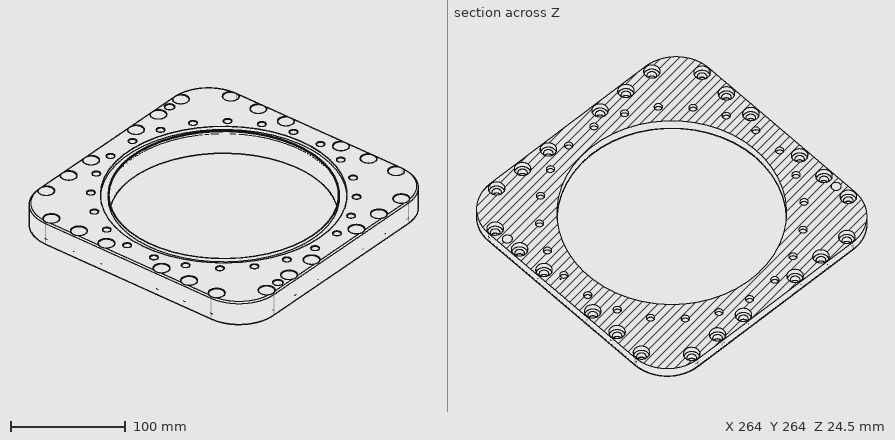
import cadquery as cq
import math

side = 264.0
thickness = 24.5
corner_radius = 39.0
edge_chamfer = 1.5

bore_diameter = 200.0
bore_top_chamfer = 0.6
bore_bottom_chamfer = 1.5

groove_inner_diameter = 202.0
groove_outer_diameter = 215.0
groove_depth = 3.3
groove_rim_chamfer = 0.2

bolt_diameter = 8.4
bolt_head_diameter = 14.0
bolt_floor_thickness = 6.5
bolt_edge_distance = 8.0
bolt_pitch = 31.0
bolts_per_half_side = 3

dowel_diameter = 8.4

ring_hole_diameter = 6.8
ring_hole_depth = 16.0
ring_hole_count = 24
ring_radius = 116.0

rim_chamfer = 0.49

bolt_line = side / 2 - bolt_edge_distance
dowel_offset = (bolts_per_half_side - 0.5) * bolt_pitch


def make_plate():
    """Rounded square plate resting on Z = 0, chamfered along its top and bottom outline."""
    plate = cq.Workplane("XY").rect(side, side).extrude(thickness)
    plate = plate.edges("|Z").fillet(corner_radius)
    return plate.faces("<Z or >Z").edges().chamfer(edge_chamfer)


def cut_bore(body):
    """Revolve the bore section, bevelled at both rims, around the Z axis."""
    radius = bore_diameter / 2
    section = (
        cq.Workplane("XZ")
        .lineTo(radius + bore_bottom_chamfer, 0)
        .lineTo(radius, bore_bottom_chamfer)
        .lineTo(radius, thickness - bore_top_chamfer)
        .lineTo(radius + bore_top_chamfer, thickness)
        .lineTo(0, thickness)
        .close()
    )
    return body.cut(section.revolve(360, (0, 0, 0), (0, 1, 0)))


def cut_groove(body):
    """Revolve the groove section, with its bevelled outer rim, around the Z axis."""
    inner = groove_inner_diameter / 2
    outer = groove_outer_diameter / 2
    section = (
        cq.Workplane("XZ")
        .moveTo(inner, thickness)
        .lineTo(inner, thickness - groove_depth)
        .lineTo(outer, thickness - groove_depth)
        .lineTo(outer, thickness - groove_rim_chamfer)
        .lineTo(outer + groove_rim_chamfer, thickness)
        .close()
    )
    return body.cut(section.revolve(360, (0, 0, 0), (0, 1, 0)))


def bolt_points():
    """Centres of the bolt holes, mirrored about both centre lines on all four sides."""
    points = []
    for step in range(1, bolts_per_half_side + 1):
        along = step * bolt_pitch
        for sign_x in (-1, 1):
            for sign_y in (-1, 1):
                points.append((sign_x * along, sign_y * bolt_line))
                points.append((sign_x * bolt_line, sign_y * along))
    return points


def ring_points():
    """Centres of the ring holes, half a step away from the X and Y axes."""
    step = 2 * math.pi / ring_hole_count
    angles = [(index + 0.5) * step for index in range(ring_hole_count)]
    return [(ring_radius * math.cos(a), ring_radius * math.sin(a)) for a in angles]


def hole_tool(diameter, floor=0.0):
    """Round cutter from the given floor height up to the top face, flared at the upper rim."""
    radius = diameter / 2
    section = (
        cq.Workplane("XZ")
        .moveTo(0, floor)
        .lineTo(radius, floor)
        .lineTo(radius, thickness - rim_chamfer)
        .lineTo(radius + rim_chamfer, thickness)
        .lineTo(0, thickness)
        .close()
    )
    return section.revolve(360, (0, 0, 0), (0, 1, 0))


def drill(body, points, tool):
    """Cut one copy of the tool at every point."""
    for x, y in points:
        body = body.cut(tool.translate((x, y, 0)))
    return body


bolt_shank = cq.Workplane("XY").circle(bolt_diameter / 2).extrude(thickness)
bolt_tool = hole_tool(bolt_head_diameter, bolt_floor_thickness).union(bolt_shank)
dowel_tool = hole_tool(dowel_diameter)
ring_tool = hole_tool(ring_hole_diameter, thickness - ring_hole_depth)
dowel_points = [(-bolt_line, dowel_offset), (bolt_line, -dowel_offset)]

result = cut_groove(cut_bore(make_plate()))
result = drill(result, bolt_points(), bolt_tool)
result = drill(result, dowel_points, dowel_tool)
result = drill(result, ring_points(), ring_tool)